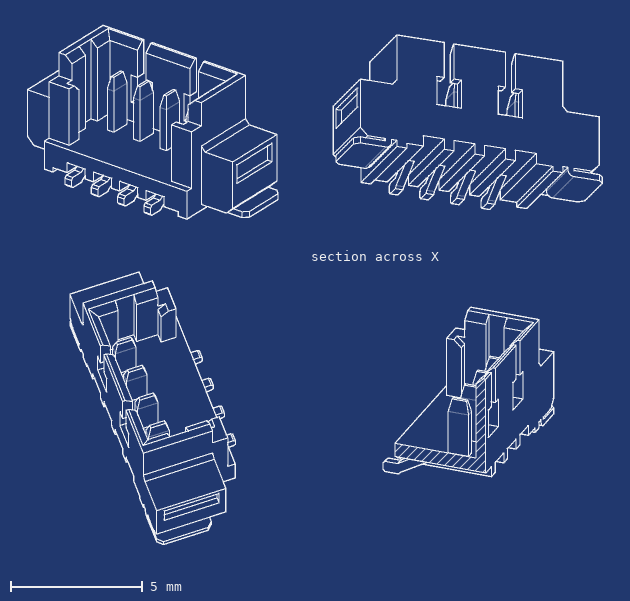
import cadquery as cq
import math


total_width = 10.15
total_depth = 4.2
total_height = 4.7

body_half_width = 3.38
base_depth = 3.7
floor_z = 1.29
base_bottom_z = 0.28
foot_bottom_z = 0.09
foot_width = 0.41

shell_depth = 2.79
back_wall = 0.41
side_wall = 0.62
lead_in_run = 0.3
lead_in_drop = 0.28
groove_back_y = -1.19
groove_front_y = -1.93

post_front_y = -3.4
post_top_z = 3.7
post_width = 0.95

slot_width = 0.4
window_width = 0.99
window_bottom_z = 2.09
window_top_z = 3.25

pin_count = 4
pitch = 1.25
pin_width = 0.31
pin_back_y = -0.7
pin_front_y = -1.53
pin_shoulder_z = 3.05
pin_tip_z = 3.55
tip_width = 0.12
tip_depth = 0.59
relief_width = 0.85
relief_top_z = 0.71
lead_thickness = 0.44
lead_chamfer = 0.09
lead_heel_y = -3.56
lead_bend_top_y = -3.6
lead_rise_angle = 30.0

wing_half_width = 4.87
wing_top_z = 2.64
wing_bottom_z = 0.35
wing_bottom_chamfer = 0.3
wing_root_run = 0.18
wing_root_rise = 0.2
pocket_back_y = -0.31
pocket_front_y = -2.52
pocket_bottom_z = 1.6
pocket_top_z = 2.4
pocket_depth = 0.22

tab_depth = 2.2
tab_thickness = 0.25
bend_radius = 0.24
tab_inner_x = 3.59
tab_corner_chamfer = 0.2

pin_positions = [(i - (pin_count - 1) / 2) * pitch for i in range(pin_count)]
cavity_half_width = body_half_width - side_wall


def box(x0, x1, y0, y1, z0, z1):
    """Axis-aligned block between two opposite corners."""
    size = (x1 - x0, y1 - y0, z1 - z0)
    return cq.Workplane("XY").box(*size, centered=False).translate((x0, y0, z0))


def front_prism(points, depth):
    """Extrude an XZ outline from the back face toward -Y."""
    return cq.Workplane("XZ").polyline(points).close().extrude(depth)


def both_sides(solid):
    """Add the mirror image across X = 0."""
    return solid.union(solid.mirror("YZ"))


def base():
    block = box(-body_half_width, body_half_width, -base_depth, 0, base_bottom_z, floor_z)
    foot = box(
        -body_half_width, -body_half_width + foot_width, -base_depth, 0, foot_bottom_z, base_bottom_z
    )
    block = block.union(both_sides(foot))
    for x in pin_positions:
        half = relief_width / 2
        block = block.cut(box(x - half, x + half, -base_depth, 0, base_bottom_z, relief_top_z))
    return block


def lead_in():
    """Widening of the cavity mouth on the back and side walls."""
    lower_width = 2 * cavity_half_width
    upper_width = lower_width + 2 * lead_in_run
    lower_depth = base_depth - back_wall
    upper_depth = lower_depth + lead_in_run
    return (
        cq.Workplane("XY", origin=(0, 0, total_height - lead_in_drop))
        .center(0, -base_depth + lower_depth / 2)
        .rect(lower_width, lower_depth)
        .workplane(offset=lead_in_drop)
        .center(0, lead_in_run / 2)
        .rect(upper_width, upper_depth)
        .loft(ruled=True, combine=True)
    )


def shell():
    walls = box(-body_half_width, body_half_width, -shell_depth, 0, floor_z, total_height)
    walls = walls.cut(
        box(-cavity_half_width, cavity_half_width, -shell_depth, -back_wall, floor_z, total_height)
    )
    walls = walls.cut(lead_in())

    groove_half_width = cavity_half_width + lead_in_run
    walls = walls.cut(
        box(-groove_half_width, groove_half_width, groove_front_y, groove_back_y, floor_z, total_height)
    )

    for x in (-pitch, pitch):
        slot_half = slot_width / 2
        window_half = window_width / 2
        walls = walls.cut(
            box(x - slot_half, x + slot_half, -back_wall, 0, window_top_z, total_height)
        )
        walls = walls.cut(
            box(x - window_half, x + window_half, -back_wall, 0, window_bottom_z, window_top_z)
        )
    return walls


def corner_posts():
    inner_x = body_half_width - post_width
    post = box(inner_x, body_half_width, post_front_y, -shell_depth, floor_z, post_top_z)
    slope = (
        cq.Workplane("YZ", origin=(inner_x, 0, 0))
        .moveTo(-shell_depth, post_top_z)
        .lineTo(-shell_depth - lead_in_run, post_top_z)
        .lineTo(-shell_depth, post_top_z - lead_in_drop)
        .close()
        .extrude(cavity_half_width - inner_x)
    )
    return both_sides(post.cut(slope))


def wings():
    wing = front_prism(
        [
            (body_half_width, wing_bottom_z),
            (wing_half_width - wing_bottom_chamfer, wing_bottom_z),
            (wing_half_width, wing_bottom_z + wing_bottom_chamfer),
            (wing_half_width, wing_top_z),
            (body_half_width + wing_root_run, wing_top_z),
            (body_half_width, wing_top_z + wing_root_rise),
        ],
        shell_depth,
    )
    pocket = box(
        wing_half_width - pocket_depth, wing_half_width,
        pocket_front_y, pocket_back_y,
        pocket_bottom_z, pocket_top_z,
    )
    return both_sides(wing.cut(pocket))


def solder_tabs():
    """Flat tabs that bend up into the underside of the wings."""
    bend_end_x = tab_inner_x + tab_thickness
    plate = box(bend_end_x, total_width / 2, -tab_depth, 0, 0, tab_thickness)
    plate = plate.edges("|Z and >X").chamfer(tab_corner_chamfer)
    leg = box(tab_inner_x, bend_end_x, -tab_depth, 0, 0, wing_bottom_z)
    leg = leg.edges("|Y and <X and <Z").fillet(bend_radius)
    return both_sides(plate.union(leg))


def pin(x):
    pin_depth = pin_back_y - pin_front_y
    center_y = (pin_back_y + pin_front_y) / 2
    shaft = box(
        x - pin_width / 2, x + pin_width / 2, pin_front_y, pin_back_y, relief_top_z, pin_shoulder_z
    )
    tip = (
        cq.Workplane("XY", origin=(x, center_y, pin_shoulder_z))
        .rect(pin_width, pin_depth)
        .workplane(offset=pin_tip_z - pin_shoulder_z)
        .rect(tip_width, tip_depth)
        .loft(ruled=True, combine=True)
    )
    return shaft.union(tip)


def lead(x):
    """Flat lead with a chamfered end; its inner end slopes up into the base."""
    buried_z = (relief_top_z + floor_z) / 2
    slope = math.tan(math.radians(lead_rise_angle))
    heel_end_y = lead_heel_y + lead_chamfer
    outline = [
        (lead_heel_y, 0),
        (-total_depth + lead_chamfer, 0),
        (-total_depth, lead_chamfer),
        (-total_depth, lead_thickness - lead_chamfer),
        (-total_depth + lead_chamfer, lead_thickness),
        (lead_bend_top_y, lead_thickness),
        (lead_bend_top_y + (buried_z - lead_thickness) / slope, buried_z),
        (heel_end_y + (buried_z - lead_chamfer) / slope, buried_z),
        (heel_end_y, lead_chamfer),
    ]
    plane = cq.Workplane("YZ", origin=(x - pin_width / 2, 0, 0))
    return plane.polyline(outline).close().extrude(pin_width)


result = base().union(shell()).union(corner_posts()).union(wings()).union(solder_tabs())
for pin_x in pin_positions:
    result = result.union(pin(pin_x)).union(lead(pin_x))